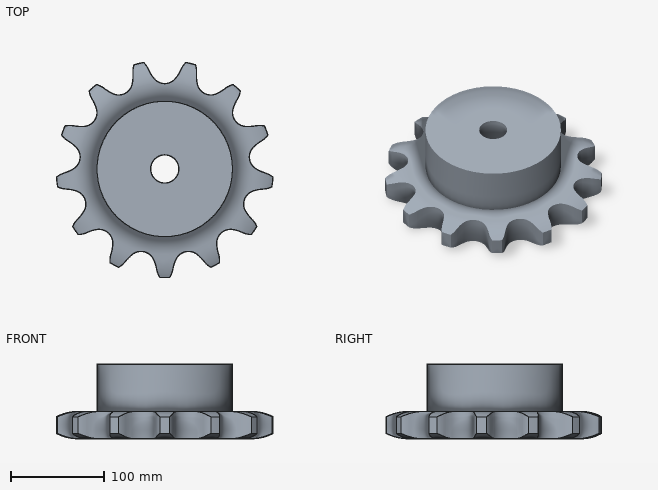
import cadquery as cq
import math

tooth_count = 13
chain_pitch = 50.8
roller_diameter = 29.2

tip_diameter = 232.8
plate_thickness = 29.5
total_height = 80.0
hub_diameter = 145.0
bore_diameter = 30.0

flat_face_radius = 92.5
tip_setback = 5.8

half_pitch_angle = 180 / tooth_count
pitch_radius = chain_pitch / 2 / math.sin(math.radians(half_pitch_angle))
tip_radius = tip_diameter / 2


def offset(point, distance, angle):
    """Return the point lying a distance away in a direction given in degrees."""
    x, y = point
    return x + distance * math.cos(math.radians(angle)), y + distance * math.sin(math.radians(angle))


def mirrored(point):
    """Return the point on the other flank of a gap that opens along +Y."""
    return -point[0], point[1]


def make_toothless_plate():
    """Revolve the plate with both rims curving in towards the tooth tips."""
    radial_run = tip_radius - flat_face_radius
    side_radius = (radial_run**2 + tip_setback**2) / (2 * tip_setback)
    half_sweep = math.degrees(math.asin(radial_run / side_radius)) / 2
    lower_middle = offset((flat_face_radius, side_radius), side_radius, half_sweep - 90)
    upper_middle = (lower_middle[0], plate_thickness - lower_middle[1])
    return (
        cq.Workplane("XZ")
        .lineTo(flat_face_radius, 0)
        .threePointArc(lower_middle, (tip_radius, tip_setback))
        .lineTo(tip_radius, plate_thickness - tip_setback)
        .threePointArc(upper_middle, (flat_face_radius, plate_thickness))
        .lineTo(0, plate_thickness)
        .close()
        .revolve(360, (0, 0, 0), (0, 1, 0))
    )


def make_tooth_gap():
    """Make the gap on the +Y axis from the standard roller chain tooth form."""
    seat_end_angle = 35 + 60 / tooth_count
    working_sweep = 18 - 56 / tooth_count
    flank_angle = seat_end_angle - working_sweep
    seat_radius = 0.5025 * roller_diameter
    working_center_distance = 0.8 * roller_diameter
    working_radius = working_center_distance + seat_radius
    topping_center_distance = 1.4 * roller_diameter

    seat_center = (0, pitch_radius)
    working_center = offset(seat_center, working_center_distance, 180 - seat_end_angle)
    topping_center = offset(seat_center, topping_center_distance, -half_pitch_angle)

    seat_bottom = (0, pitch_radius - seat_radius)
    seat_end = offset(seat_center, seat_radius, -seat_end_angle)
    working_middle = offset(working_center, working_radius, -seat_end_angle + working_sweep / 2)
    working_end = offset(working_center, working_radius, -flank_angle)

    span_x = topping_center[0] - working_end[0]
    span_y = topping_center[1] - working_end[1]
    flank = math.radians(flank_angle)
    topping_radius = span_x * math.cos(flank) - span_y * math.sin(flank)
    topping_start_angle = 180 - flank_angle
    topping_start = offset(topping_center, topping_radius, topping_start_angle)

    center_radius = math.hypot(*topping_center)
    center_direction = math.degrees(math.atan2(topping_center[1], topping_center[0]))
    cosine = (tip_radius**2 - center_radius**2 - topping_radius**2) / (2 * center_radius * topping_radius)
    topping_end_angle = center_direction + math.degrees(math.acos(cosine))
    topping_middle = offset(topping_center, topping_radius, (topping_start_angle + topping_end_angle) / 2)
    tip_corner = offset(topping_center, topping_radius, topping_end_angle)
    outer_corner = (tip_corner[0], 1.1 * tip_radius)

    return (
        cq.Workplane("XY")
        .moveTo(*mirrored(seat_end))
        .threePointArc(seat_bottom, seat_end)
        .threePointArc(working_middle, working_end)
        .lineTo(*topping_start)
        .threePointArc(topping_middle, tip_corner)
        .lineTo(*outer_corner)
        .lineTo(*mirrored(outer_corner))
        .lineTo(*mirrored(tip_corner))
        .threePointArc(mirrored(topping_middle), mirrored(topping_start))
        .lineTo(*mirrored(working_end))
        .threePointArc(mirrored(working_middle), mirrored(seat_end))
        .close()
        .extrude(plate_thickness)
    )


sprocket = make_toothless_plate()
tooth_gap = make_tooth_gap()
for index in range(tooth_count):
    sprocket = sprocket.cut(tooth_gap.rotate((0, 0, 0), (0, 0, 1), index * 2 * half_pitch_angle))

hub = cq.Workplane("XY").circle(hub_diameter / 2).extrude(total_height)
bore = cq.Workplane("XY").circle(bore_diameter / 2).extrude(total_height)
result = sprocket.union(hub).cut(bore)